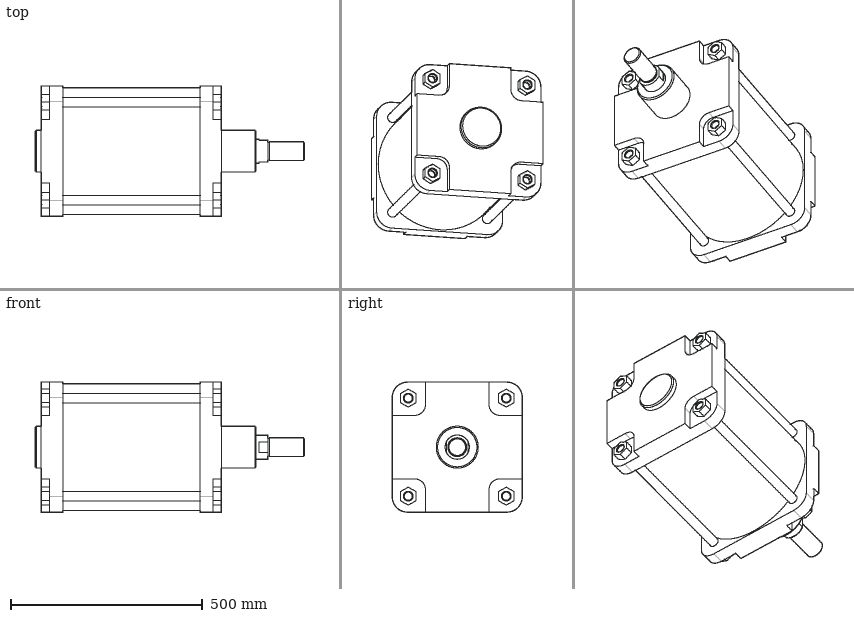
import cadquery as cq
import math

rear_end_x = 0.0
rear_cap_x = 15.5
barrel_start_x = 72.0
barrel_end_x = 430.0
front_cap_x = 486.0
hub_end_x = 576.0
collar_end_x = 606.5
thread_start_x = 611.5
rod_end_x = 702.0

cap_size = 340.0
cap_corner_radius = 41.0
pocket_size = 87.0
pocket_radius = 28.0
pocket_depth = 22.5
hub_radius = 55.0
hub_chamfer = 3.5

barrel_radius = 166.0

tie_rod_offset = 128.0
tie_rod_radius = 12.5
nut_across_flats = 41.0
nut_height = 21.0
socket_radius = 10.5
socket_depth = nut_height
socket_chamfer = 2.0

rod_radius = 31.5
flat_start_x = 584.0
wrench_size = 57.0
neck_radius = 23.0
thread_radius = 24.5
thread_chamfer = 3.0

tie_rod_places = [
    (side_y * tie_rod_offset, side_z * tie_rod_offset)
    for side_y in (-1, 1)
    for side_z in (-1, 1)
]


def plane_at(x):
    """YZ plane at x, with local axes along +Y and +Z and its normal along +X."""
    return cq.Workplane("YZ", origin=(x, 0, 0))


def cylinder(start_x, end_x, radius):
    """Cylinder on the X axis."""
    return plane_at(start_x).circle(radius).extrude(end_x - start_x)


def make_cap(start_x, end_x, pocket_start_x):
    """Square plate with rounded corners, nut pockets and tie rod holes."""
    thickness = end_x - start_x
    plate = plane_at(start_x).rect(cap_size, cap_size).extrude(thickness)
    plate = plate.edges("|X").fillet(cap_corner_radius)

    cap_corners = plane_at(pocket_start_x).rect(cap_size, cap_size, forConstruction=True).vertices()
    pockets = cap_corners.rect(2 * pocket_size, 2 * pocket_size).extrude(pocket_depth)
    pockets = pockets.edges("|X").fillet(pocket_radius)

    rod_holes = plane_at(start_x).pushPoints(tie_rod_places).circle(tie_rod_radius).extrude(thickness)
    return plate.cut(pockets).cut(rod_holes)


def make_rear_cap():
    """Rear cap with a round boss on its outer face."""
    cap = make_cap(rear_cap_x, barrel_start_x, rear_cap_x)
    boss = cylinder(rear_end_x, rear_cap_x, hub_radius)
    return cap.union(boss.faces("<X").chamfer(hub_chamfer))


def make_front_cap():
    """Front cap with the rod guide hub, bored for the piston rod."""
    cap = make_cap(barrel_end_x, front_cap_x, front_cap_x - pocket_depth)
    hub = cylinder(front_cap_x, hub_end_x, hub_radius).faces(">X").chamfer(hub_chamfer)
    rod_bore = cylinder(barrel_end_x, hub_end_x, rod_radius)
    return cap.union(hub).cut(rod_bore)


def make_barrel():
    """Barrel clamped between the caps."""
    return cylinder(barrel_start_x, barrel_end_x, barrel_radius)


def make_piston_rod():
    """Rod with wrench flats, a neck and a threaded end."""
    rod = cylinder(barrel_end_x, collar_end_x, rod_radius)
    flat_length = collar_end_x - flat_start_x
    flats = plane_at(flat_start_x).circle(rod_radius).extrude(flat_length)
    flats = flats.cut(plane_at(flat_start_x).rect(wrench_size, 2 * rod_radius).extrude(flat_length))
    neck = cylinder(collar_end_x, thread_start_x, neck_radius)
    thread = cylinder(thread_start_x, rod_end_x, thread_radius).faces(">X").chamfer(thread_chamfer)
    return rod.cut(flats).union(neck).union(thread)


def make_nut(start_x):
    """Hexagonal nut on the X axis with two corners pointing along Z."""
    across_corners = nut_across_flats / math.cos(math.pi / 6)
    nut = plane_at(start_x).polygon(6, across_corners).extrude(nut_height)
    return nut.rotate((0, 0, 0), (1, 0, 0), 90)


def make_tie_rod(place):
    """Tie rod with a nut in the pocket at each end and a socket in each nut."""
    rear_seat_x = rear_cap_x + pocket_depth
    front_seat_x = front_cap_x - pocket_depth
    rear_nut_x = rear_seat_x - nut_height
    front_nut_x = front_seat_x + nut_height

    tie_rod = cylinder(rear_seat_x, front_seat_x, tie_rod_radius)
    tie_rod = tie_rod.union(make_nut(rear_nut_x)).union(make_nut(front_seat_x))
    tie_rod = tie_rod.cut(cylinder(rear_nut_x, rear_nut_x + socket_depth, socket_radius))
    tie_rod = tie_rod.cut(cylinder(front_nut_x - socket_depth, front_nut_x, socket_radius))
    socket_rims = tie_rod.faces("<X or >X").edges("%CIRCLE")
    tie_rod = socket_rims.chamfer(socket_chamfer)
    return tie_rod.translate((0, *place))


rear_cap = make_rear_cap()
front_cap = make_front_cap()
barrel = make_barrel()
piston_rod = make_piston_rod()
tie_rods = [make_tie_rod(place).val() for place in tie_rod_places]

result = cq.Compound.makeCompound(
    [rear_cap.val(), front_cap.val(), barrel.val(), piston_rod.val(), *tie_rods]
)